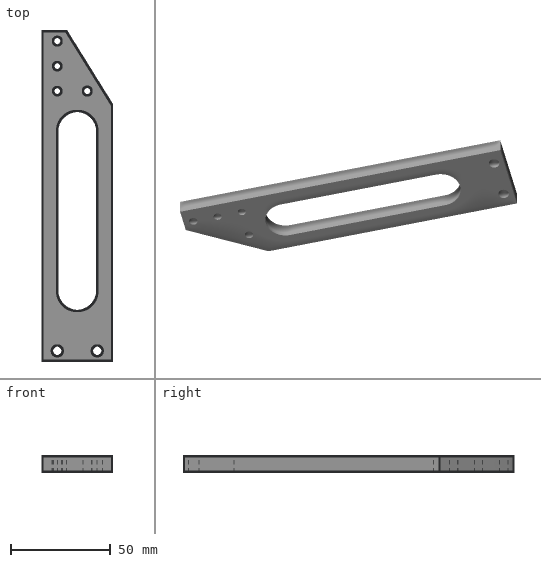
import cadquery as cq

width = 35.0
length = 165.0
thickness = 8.0

back_edge_width = 12.0
right_edge_length = 128.0

slot_width = 20.0
slot_length = 100.0
slot_center_x = width / 2
slot_center_y = 75.0

mount_hole_diameter = 5.3
mount_hole_spacing = 20.0
mount_hole_inset = 5.0

left_row_x = 7.5
back_hole_inset = 5.0
row_pitch = 12.5
side_hole_offset = 15.0
large_hole_diameter = 4.2
small_hole_diameter = 4.0


def make_plate():
    """Flat plate with one corner cut off at a slant."""
    outline = [
        (0, 0),
        (width, 0),
        (width, right_edge_length),
        (back_edge_width, length),
        (0, length),
    ]
    return cq.Workplane("XY").polyline(outline).close().extrude(thickness)


def make_slot():
    """Cutter for the long opening, running along Y."""
    return (
        cq.Workplane("XY")
        .center(slot_center_x, slot_center_y)
        .slot2D(slot_length, slot_width, angle=90)
        .extrude(thickness)
    )


def make_holes(diameter, centers):
    """Cutter for through holes of one diameter."""
    return cq.Workplane("XY").pushPoints(centers).circle(diameter / 2).extrude(thickness)


mount_centers = [
    (left_row_x, mount_hole_inset),
    (left_row_x + mount_hole_spacing, mount_hole_inset),
]
back_hole_y = length - back_hole_inset
middle_hole_y = back_hole_y - row_pitch
front_hole_y = middle_hole_y - row_pitch
large_centers = [
    (left_row_x, back_hole_y),
    (left_row_x + side_hole_offset, front_hole_y),
]
small_centers = [
    (left_row_x, middle_hole_y),
    (left_row_x, front_hole_y),
]

result = (
    make_plate()
    .cut(make_slot())
    .cut(make_holes(mount_hole_diameter, mount_centers))
    .cut(make_holes(large_hole_diameter, large_centers))
    .cut(make_holes(small_hole_diameter, small_centers))
)